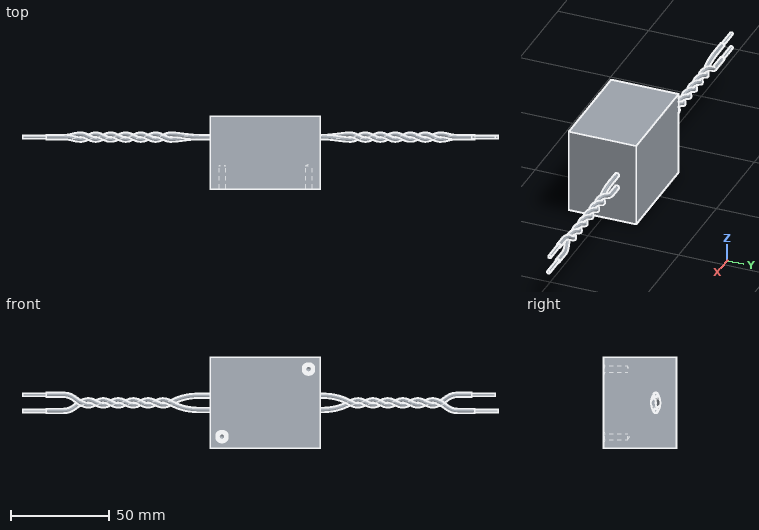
import cadquery as cq
import math

HOUSING_LENGTH = 56.2
HOUSING_DEPTH = 37.3
HOUSING_HEIGHT = 46.5

HOLE_INSET = 6.0
OUTER_STEP_DIAMETER = 6.0
INNER_STEP_DIAMETER = 4.5
STEP_DEPTH = 0.2
BORE_DIAMETER = 3.1
BORE_DEPTH = 12.0
TIP_ANGLE = 118

INSULATION_DIAMETER = 2.5
CONDUCTOR_DIAMETER = 1.7
PAIR_Y = 8.0
ROOT_OFFSET = 3.6
END_OFFSET = 4.0

TWIST_PITCH = 15.3
TWIST_TURNS = 3
TWIST_LENGTH = TWIST_TURNS * TWIST_PITCH
STRAND_GAP = 0.12
TWIST_RADIUS = (INSULATION_DIAMETER + STRAND_GAP) / 2

LEFT_ROOT_LENGTH = 5.0
RIGHT_ROOT_LENGTH = 0.2
ROOT_BEND_LENGTH = 15.0
END_BEND_LENGTH = 9.2
SLEEVE_LENGTH = 8.2
SHORT_SLEEVE_LENGTH = 6.8
CONDUCTOR_LENGTH = 12.0


def make_mounting_hole(x, z):
    """Cutter for one hole: two shallow round steps, then a bore with a conical drill tip."""
    outer_radius = OUTER_STEP_DIAMETER / 2
    inner_radius = INNER_STEP_DIAMETER / 2
    bore_radius = BORE_DIAMETER / 2
    tip_depth = BORE_DEPTH + bore_radius / math.tan(math.radians(TIP_ANGLE / 2))
    return (
        cq.Workplane("XY", origin=(x, -HOUSING_DEPTH / 2, z))
        .polyline([
            (0, 0),
            (outer_radius, 0),
            (outer_radius, STEP_DEPTH),
            (inner_radius, STEP_DEPTH),
            (inner_radius, 2 * STEP_DEPTH),
            (bore_radius, 2 * STEP_DEPTH),
            (bore_radius, BORE_DEPTH),
            (0, tip_depth),
        ])
        .close()
        .revolve(360, (0, 0), (0, 1))
    )


def make_housing():
    hole_x = HOUSING_LENGTH / 2 - HOLE_INSET
    hole_z = HOUSING_HEIGHT / 2 - HOLE_INSET
    body = cq.Workplane("XY").box(HOUSING_LENGTH, HOUSING_DEPTH, HOUSING_HEIGHT)
    for corner in (-1, 1):
        body = body.cut(make_mounting_hole(corner * hole_x, corner * hole_z))
    return body


def make_strand_path(root_length, sleeve_length):
    """Centre line of the insulation, running along +Z from the housing face at Z = 0."""
    bend_start = root_length
    twist_start = bend_start + ROOT_BEND_LENGTH
    twist_end = twist_start + TWIST_LENGTH
    sleeve_start = twist_end + END_BEND_LENGTH
    sleeve_end = sleeve_start + sleeve_length

    outward = cq.Vector(0, 0, 1)
    along_twist = cq.Vector(0, 2 * math.pi * TWIST_RADIUS, TWIST_PITCH).normalized()
    root = cq.Vector(0, -ROOT_OFFSET, 0)
    root_bend = cq.Vector(0, -ROOT_OFFSET, bend_start)
    twist_in = cq.Vector(TWIST_RADIUS, 0, twist_start)
    twist_out = cq.Vector(TWIST_RADIUS, 0, twist_end)
    sleeve_in = cq.Vector(0, END_OFFSET, sleeve_start)
    sleeve_out = cq.Vector(0, END_OFFSET, sleeve_end)

    helix = cq.Wire.makeHelix(TWIST_PITCH, TWIST_LENGTH, TWIST_RADIUS, center=cq.Vector(0, 0, twist_start))
    return cq.Wire.assembleEdges([
        cq.Edge.makeLine(root, root_bend),
        cq.Edge.makeSpline([root_bend, twist_in], [outward, along_twist]),
        *helix.Edges(),
        cq.Edge.makeSpline([twist_out, sleeve_in], [along_twist, outward]),
        cq.Edge.makeLine(sleeve_in, sleeve_out),
    ])


def make_wire(side, strand, root_length, sleeve_length):
    """One wire on the +X (side 1) or -X (side -1) face.

    It enters and leaves the twist on the +Y (strand 1) or -Y (strand -1) side of the pair.
    """
    path = make_strand_path(root_length, sleeve_length)
    insulation = (
        cq.Workplane("XY", origin=path.startPoint())
        .circle(INSULATION_DIAMETER / 2)
        .sweep(cq.Workplane(path))
    )
    conductor = (
        cq.Workplane("XY", origin=path.endPoint())
        .circle(CONDUCTOR_DIAMETER / 2)
        .extrude(CONDUCTOR_LENGTH)
    )
    face_centre = (side * HOUSING_LENGTH / 2, PAIR_Y, 0)
    placement = cq.Plane(origin=face_centre, xDir=(0, strand, 0), normal=(side, 0, 0))
    return insulation.union(conductor).val().moved(placement.location)


housing = make_housing()

wires = [
    make_wire(-1, -1, LEFT_ROOT_LENGTH, SLEEVE_LENGTH),
    make_wire(-1, 1, LEFT_ROOT_LENGTH, SLEEVE_LENGTH),
    make_wire(1, -1, RIGHT_ROOT_LENGTH, SLEEVE_LENGTH),
    make_wire(1, 1, RIGHT_ROOT_LENGTH, SHORT_SLEEVE_LENGTH),
]

result = cq.Compound.makeCompound([housing.val(), *wires])